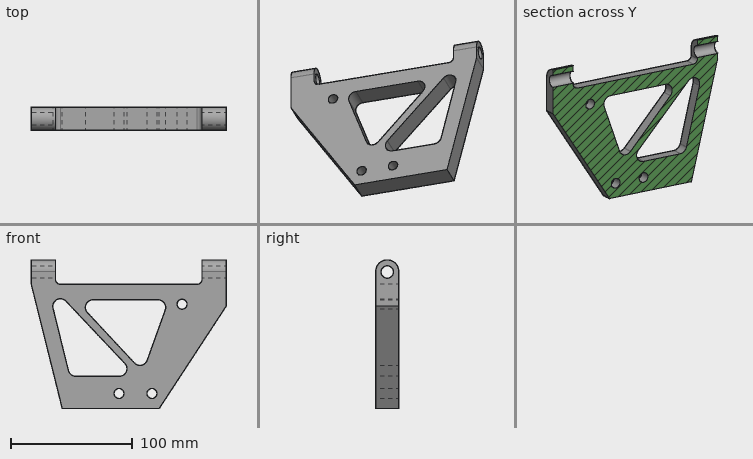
import cadquery as cq

LENGTH = 160.0
THICKNESS = 19.05
HEIGHT = 122.0

SHOULDER_HEIGHT = 102.0
BOTTOM_LEFT_X = 25.4
BOTTOM_RIGHT_X = 105.0
RIGHT_TAPER_TOP = 84.0

LUG_WIDTH = 20.0
LUG_RADIUS = THICKNESS / 2
LUG_AXIS_HEIGHT = HEIGHT - LUG_RADIUS
BORE_DEPTH_BELOW_TOP = 10.0
BORE_AXIS_HEIGHT = HEIGHT - BORE_DEPTH_BELOW_TOP
LUG_BORE_DIAMETER = 10.0
LUG_FILLET_RADIUS = 4.0

MOUNTING_HOLE_DIAMETER = 8.0
LOWER_HOLE_HEIGHT = 12.4
MOUNTING_HOLES = [(72.0, LOWER_HOLE_HEIGHT), (99.0, LOWER_HOLE_HEIGHT), (123.7, 85.6)]

WINDOW_CORNER_RADIUS = 6.15
WINDOW_BOTTOM = 26.6
WINDOW_TOP = 89.1
LOWER_WINDOW = [(12.45, 105.0), (31.75, WINDOW_BOTTOM), (86.6, WINDOW_BOTTOM)]
UPPER_WINDOW = [(36.5, WINDOW_TOP), (112.8, WINDOW_TOP), (91.6, 30.1)]


def extrude_through(sketch):
    """Extrude an XZ sketch over the full thickness, centred on Y = 0."""
    return sketch.extrude(THICKNESS / 2, both=True)


def make_plate():
    """Tapered plate with square-sided lug stems reaching up to the lug axis."""
    outline = [
        (BOTTOM_LEFT_X, 0),
        (BOTTOM_RIGHT_X, 0),
        (LENGTH, RIGHT_TAPER_TOP),
        (LENGTH, LUG_AXIS_HEIGHT),
        (LENGTH - LUG_WIDTH, LUG_AXIS_HEIGHT),
        (LENGTH - LUG_WIDTH, SHOULDER_HEIGHT),
        (LUG_WIDTH, SHOULDER_HEIGHT),
        (LUG_WIDTH, LUG_AXIS_HEIGHT),
        (0, LUG_AXIS_HEIGHT),
        (0, SHOULDER_HEIGHT),
    ]
    plate = extrude_through(cq.Workplane("XZ").polyline(outline).close())
    for x in (LUG_WIDTH, LENGTH - LUG_WIDTH):
        corner = cq.selectors.NearestToPointSelector((x, 0, SHOULDER_HEIGHT))
        plate = plate.edges("|Y").edges(corner).fillet(LUG_FILLET_RADIUS)
    return plate


def make_cylinder_along_x(start_x, length, diameter, axis_height):
    """Cylinder parallel to X on the mid-plane of the plate."""
    return (
        cq.Workplane("YZ", origin=(start_x, 0, axis_height))
        .circle(diameter / 2)
        .extrude(length)
    )


def make_window(corners):
    """Triangular cutter with rounded corners."""
    prism = extrude_through(cq.Workplane("XZ").polyline(corners).close())
    return prism.edges("|Y").fillet(WINDOW_CORNER_RADIUS)


def make_mounting_holes():
    """Cutters for the mounting holes."""
    sketch = cq.Workplane("XZ").pushPoints(MOUNTING_HOLES).circle(MOUNTING_HOLE_DIAMETER / 2)
    return extrude_through(sketch)


result = make_plate()
for lug_start in (0, LENGTH - LUG_WIDTH):
    lug_barrel = make_cylinder_along_x(lug_start, LUG_WIDTH, 2 * LUG_RADIUS, LUG_AXIS_HEIGHT)
    result = result.union(lug_barrel)
result = result.cut(make_cylinder_along_x(0, LENGTH, LUG_BORE_DIAMETER, BORE_AXIS_HEIGHT))
for window_corners in (LOWER_WINDOW, UPPER_WINDOW):
    result = result.cut(make_window(window_corners))
result = result.cut(make_mounting_holes())